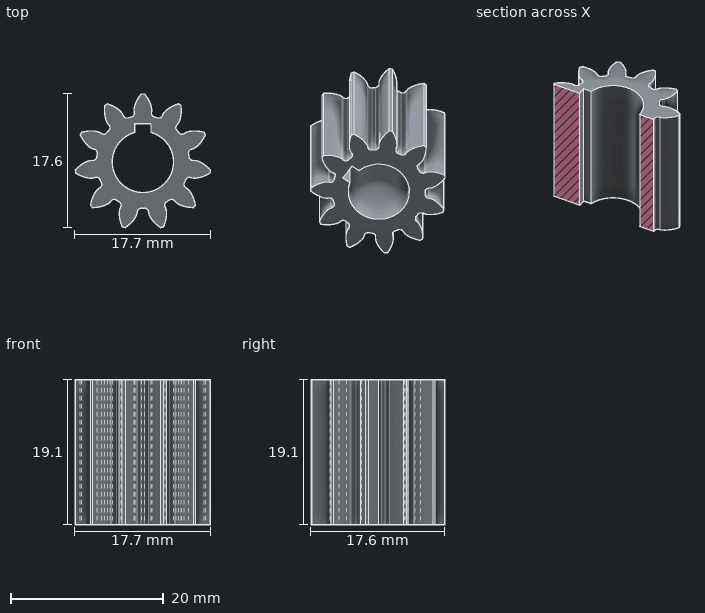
import cadquery as cq
import math

length = 19.05
tooth_count = 11
tip_radius = 8.93
root_radius = 6.1
root_fillet = 0.5

pitch_radius = 7.0
pressure_angle = math.radians(14.5)
base_radius = pitch_radius * math.cos(pressure_angle)
base_half_thickness = 1.18
base_half_angle = base_half_thickness / base_radius
tip_roll = math.sqrt((tip_radius / base_radius) ** 2 - 1)
flank_steps = 8

bore_radius = 4.0
keyway_width = 2.1
keyway_depth = 1.0


def polar_point(radius, angle_from_axis):
    """Point at a radius and a clockwise angle from the tooth axis, which lies along +Y."""
    return radius * math.sin(angle_from_axis), radius * math.cos(angle_from_axis)


def involute_point(roll):
    """Point on the right flank of a tooth centred on +Y, for a given roll of the involute."""
    radius = base_radius * math.sqrt(1 + roll**2)
    angle_from_axis = base_half_angle - (roll - math.atan(roll))
    return polar_point(radius, angle_from_axis)


def right_flank():
    """Involute from the base circle out to the tip."""
    return [involute_point(tip_roll * step / flank_steps) for step in range(flank_steps + 1)]


def right_fillet():
    """Start, middle and end of the arc joining the radial flank to the root circle."""
    centre_radius = root_radius + root_fillet
    centre_offset_angle = math.asin(root_fillet / centre_radius)
    centre_angle = base_half_angle + centre_offset_angle
    flank_end = polar_point(centre_radius * math.cos(centre_offset_angle), base_half_angle)
    root_end = polar_point(root_radius, centre_angle)

    centre = polar_point(centre_radius, centre_angle)
    middle_x = (flank_end[0] + root_end[0]) / 2 - centre[0]
    middle_y = (flank_end[1] + root_end[1]) / 2 - centre[1]
    stretch = root_fillet / math.hypot(middle_x, middle_y)
    middle = (centre[0] + middle_x * stretch, centre[1] + middle_y * stretch)
    return [flank_end, middle, root_end]


def mirrored(points):
    """Points reflected across the tooth axis."""
    return [(-x, y) for x, y in points]


def tooth():
    """Prism of one tooth centred on +Y, with its root fillets, overlapping the root cylinder."""
    flank = right_flank()
    fillet = right_fillet()
    left_flank = mirrored(flank)
    left_fillet = mirrored(fillet)

    return (
        cq.Workplane("XY")
        .moveTo(0, 0)
        .lineTo(*left_fillet[2])
        .threePointArc(left_fillet[1], left_fillet[0])
        .lineTo(*left_flank[0])
        .spline(left_flank[1:], includeCurrent=True)
        .threePointArc((0, tip_radius), flank[-1])
        .spline(flank[-2::-1], includeCurrent=True)
        .lineTo(*fillet[0])
        .threePointArc(fillet[1], fillet[2])
        .close()
        .extrude(length)
    )


def gear_blank():
    """Root cylinder with the ring of teeth."""
    blank = cq.Workplane("XY").circle(root_radius).extrude(length)
    single_tooth = tooth()
    for index in range(tooth_count):
        blank = blank.union(single_tooth.rotate((0, 0, 0), (0, 0, 1), index * 360 / tooth_count))
    return blank


def keyed_bore():
    """Through bore with a keyway on its +Y side."""
    keyway_reach = bore_radius + keyway_depth
    bore = cq.Workplane("XY").circle(bore_radius).extrude(length)
    keyway = (
        cq.Workplane("XY")
        .center(0, keyway_reach / 2)
        .rect(keyway_width, keyway_reach)
        .extrude(length)
    )
    return bore.union(keyway)


result = gear_blank().cut(keyed_bore())